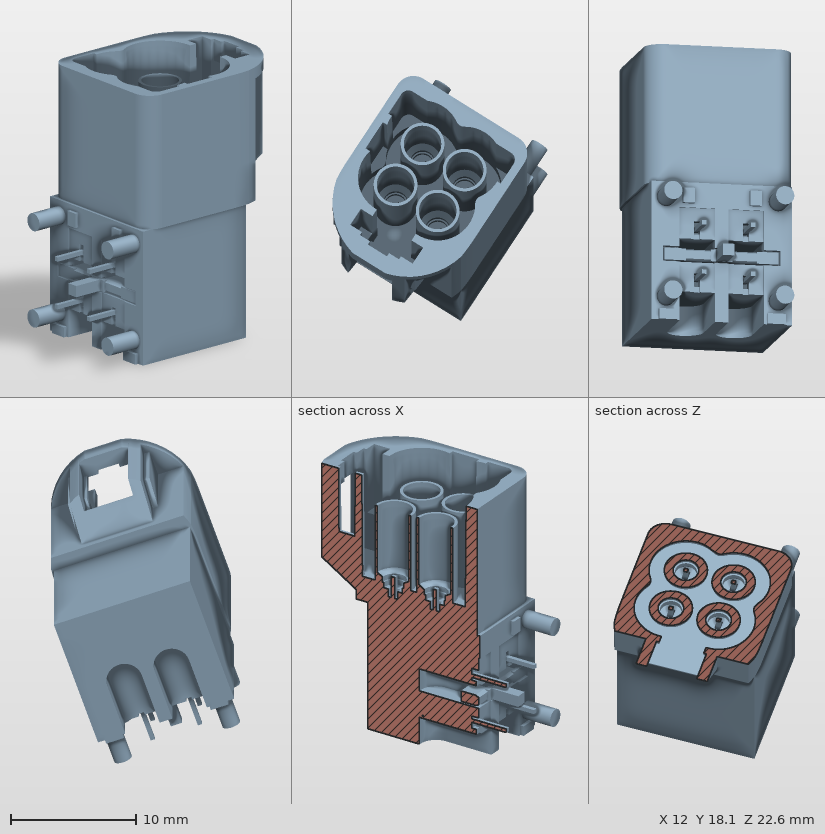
import cadquery as cq
import math

total_height = 22.55
body_width = 11.5
body_back = 4.42
body_front = -6.34
body_top = 11.3

shell_width = 12.0
shell_front = -6.07
shell_back = 9.05
shell_corner_radius = 1.49
shell_side_end = 3.02
shell_blend_end = 4.62
rear_arc_radius = 6.09
rear_arc_center = 3.15

collar_height = 0.97
collar_middle_height = 1.83
flat_back = 5.55
latch_gap_half = 2.07
rail_outer = 3.0
rail_back = 8.86
latch_slope = 0.61
rail_bottom = 12.15
window_box_bottom = 14.85
window_box_outer = 3.45
window_box_back = 7.62
latch_overlap = 0.45

pitch = 4.0
row = pitch / 2
draft = 0.5
cavity_radius = 3.0
cavity_cusp_radius = 0.63
cavity_floor = 13.53
keyway_half = 1.85
keyway_back = 7.49
notch_half = 0.9
notch_back = 7.8
window_outer = 2.95
window_front = 5.64
window_back = 7.2
window_floor = 16.91
key_floor = 14.88
corner_key_half = 5.32
corner_key_front = -4.71
corner_key_back = -2.15
corner_key_radius = 0.68
side_key_front = -1.3
side_key_back = 1.25

socket_diameter = 3.5
socket_bore = 3.0
socket_seat = 2.0
socket_inner_seat = 1.75
socket_top = 20.23
funnel_top = 14.27
funnel_bottom = 13.98
inner_seat_top = 13.53
socket_floor = 13.08
contact_slot_width = 0.5
contact_slot_length = 0.85
contact_slot_depth = 0.68
socket_base = 12.18
contact_width = 0.35

peg_diameter = 1.49
peg_x = 4.58
peg_heights = (1.9, 10.01)
peg_end = -9.07
pin_end = -8.86
pin_embed = 0.23
standoff_front = -6.65
upper_pad_x = (2.25, 3.22)
upper_pad_z = (9.58, 10.8)
lower_pad_x = (3.68, 5.16)
lower_pad_z = (0, 0.85)

bar_slot_bottom = 4.8
recess_width = 2.9
recess_depth = 0.11
recess_tops = (bar_slot_bottom, 9.25)
channel_bottoms = (0, bar_slot_bottom)
channel_tops = (2.4, 6.72)
pin_heights = (3.52, 7.53)
slot_below_pin = (0.65, 0.38)
slot_above_pin = (0.38, 0.63)
blade_slot_depth = 0.23

bar_slot_half = 4.8
bar_slot_top = 6.05
bar_slot_depth = 0.45
bar_clearance = 0.14
bar_front = -6.22
bar_back = -4.5
ground_pin_width = 0.95
hub_width = 1.75
bevel_end = 2.89
bevel_height = 0.15
bevel_length = 0.34

sides = (-1, 1)


def block(x0, x1, y0, y1, z0, z1):
    """Box between pairs of opposite faces, given in any order along X."""
    return cq.Workplane("XY").box(abs(x1 - x0), y1 - y0, z1 - z0, centered=False).translate(
        (min(x0, x1), y0, z0)
    )


def shell_outline(bottom, top):
    """Prism of the rounded shell outline."""
    half = shell_width / 2
    corner = shell_corner_radius
    blend_x = math.sqrt(rear_arc_radius**2 - (shell_blend_end - rear_arc_center) ** 2)
    flat_x = math.sqrt(rear_arc_radius**2 - (shell_back - rear_arc_center) ** 2)
    mid_x = rear_arc_radius * math.sin(math.pi / 4)
    mid_y = rear_arc_center + mid_x
    outline = (
        cq.Workplane("XY")
        .workplane(offset=bottom)
        .moveTo(0, shell_front)
        .lineTo(half - corner, shell_front)
        .radiusArc((half, shell_front + corner), -corner)
        .lineTo(half, shell_side_end)
        .tangentArcPoint((blend_x, shell_blend_end), relative=False)
        .threePointArc((mid_x, mid_y), (flat_x, shell_back))
        .lineTo(0, shell_back)
        .mirrorY()
    )
    return outline.extrude(top - bottom)


def slanted_prism(x0, x1, back, bottom):
    """Prism behind the flat back of the shell with an underside rising to the rear."""
    start = flat_back - latch_overlap
    profile = [
        (start, bottom - latch_overlap * latch_slope),
        (back, bottom + (back - flat_back) * latch_slope),
        (back, total_height),
        (start, total_height),
    ]
    prism = cq.Workplane("YZ").polyline(profile).close().extrude(abs(x1 - x0))
    return prism.translate((min(x0, x1), 0, 0))


def make_shell():
    """Shell with a flat back, an overhanging collar and the latch housing."""
    full = shell_outline(body_top, total_height)
    shell = full.intersect(
        block(-shell_width, shell_width, 2 * shell_front, flat_back, body_top, total_height)
    )
    shell = shell.union(shell_outline(total_height - collar_height, total_height))
    latch = block(
        -latch_gap_half, latch_gap_half, flat_back, shell_back,
        total_height - collar_middle_height, total_height,
    )
    for side in sides:
        latch = latch.union(slanted_prism(side * latch_gap_half, side * rail_outer, rail_back, rail_bottom))
        latch = latch.union(
            slanted_prism(side * keyway_half, side * window_box_outer, window_box_back, window_box_bottom)
        )
    keyway_base = slanted_prism(-latch_gap_half, latch_gap_half, window_box_back, rail_bottom)
    latch = latch.union(
        keyway_base.intersect(
            block(-latch_gap_half, latch_gap_half, 0, shell_back, 0, cavity_floor)
        )
    )
    return shell.union(latch.intersect(full))


def drafted_pocket(x0, x1, y0, y1, floor):
    """Rectangular pocket narrowing slightly from the mouth down to its floor."""
    return (
        cq.Workplane("XY", origin=((x0 + x1) / 2, (y0 + y1) / 2, total_height))
        .rect(abs(x1 - x0), y1 - y0)
        .extrude(floor - total_height, taper=draft)
    )


def quarter_turned(x, y, turns):
    """Point turned about the origin by a number of quarter turns."""
    for _ in range(turns):
        x, y = -y, x
    return (x, y)


def four_lobe_cavity():
    """Mating cavity: one lobe around each socket, the cusps between lobes rounded."""
    reach = cavity_radius + cavity_cusp_radius
    cusp_center = row + math.sqrt(reach**2 - row**2)
    share = cavity_radius / reach
    near = row - row * share
    far = row + (cusp_center - row) * share
    tip = cusp_center - cavity_cusp_radius
    lobe_mid = row + cavity_radius * math.sin(math.pi / 4)
    outline = cq.Workplane("XY").workplane(offset=total_height).moveTo(far, near)
    for turns in range(4):
        outline = outline.threePointArc(
            quarter_turned(lobe_mid, lobe_mid, turns), quarter_turned(near, far, turns)
        )
        outline = outline.threePointArc(quarter_turned(0, tip, turns), quarter_turned(-near, far, turns))
    return outline.close().extrude(cavity_floor - total_height, taper=draft)


def corner_pocket(side):
    """Key pocket in a front corner of the cavity, its outer corner rounded."""
    pocket = drafted_pocket(
        side * row, side * corner_key_half, corner_key_front, corner_key_back, key_floor
    )
    outer_edge = ">X" if side > 0 else "<X"
    return pocket.faces("<Y").edges(outer_edge).fillet(corner_key_radius)


def cut_cavity(shell):
    """Mating cavity with its keyway, latch windows and key pockets."""
    shell = shell.cut(four_lobe_cavity())
    shell = shell.cut(
        block(-keyway_half, keyway_half, row, keyway_back, cavity_floor, total_height)
    )
    shell = shell.cut(
        block(-notch_half, notch_half, row, notch_back, cavity_floor, total_height)
    )
    for side in sides:
        shell = shell.cut(
            drafted_pocket(0, side * window_outer, window_front, window_back, window_floor)
        )
        shell = shell.cut(corner_pocket(side))
    return shell.cut(
        drafted_pocket(row, corner_key_half, side_key_front, side_key_back, key_floor)
    )


def make_socket():
    """Shielding sleeve with a funnel bore, a stepped seat and a square contact."""
    def ring_disc(diameter, bottom, top):
        return cq.Workplane("XY").workplane(offset=bottom).circle(diameter / 2).extrude(top - bottom)

    funnel = (
        cq.Workplane("XY")
        .workplane(offset=funnel_bottom)
        .circle(socket_seat / 2)
        .workplane(offset=funnel_top - funnel_bottom)
        .circle(socket_bore / 2)
        .loft()
    )
    half_slot = contact_slot_width / 2
    half_length = contact_slot_length / 2
    half_contact = contact_width / 2
    slot_floor = socket_floor - contact_slot_depth
    return (
        ring_disc(socket_diameter, socket_base, socket_top)
        .cut(ring_disc(socket_bore, funnel_top, socket_top))
        .cut(funnel)
        .cut(ring_disc(socket_seat, inner_seat_top, funnel_bottom))
        .cut(ring_disc(socket_inner_seat, socket_floor, inner_seat_top))
        .cut(block(-half_slot, half_slot, -half_length, half_length, slot_floor, socket_floor))
        .union(block(-half_contact, half_contact, -half_contact, half_contact, slot_floor, funnel_top))
    )


def add_sockets(part):
    """Four sockets on a square pitch, rooted below the cavity floor."""
    socket = make_socket()
    room = cq.Workplane("XY").circle(socket_diameter / 2).extrude(total_height - socket_base)
    for x in (-row, row):
        for y in (-row, row):
            part = part.cut(room.translate((x, y, socket_base)))
            part = part.union(socket.translate((x, y, 0)))
    return part


def cut_contact_recesses(body):
    """Shallow front recesses, each opening below into a deep round-backed channel."""
    half = recess_width / 2
    half_slot = contact_slot_width / 2
    recess_back = body_front + recess_depth
    for x in (-row, row):
        for recess_top, bottom, top, pin_z, below, above in zip(
            recess_tops, channel_bottoms, channel_tops, pin_heights, slot_below_pin, slot_above_pin
        ):
            body = body.cut(block(x - half, x + half, body_front, recess_back, bottom, recess_top))
            body = body.cut(block(x - half, x + half, body_front, -row, bottom, top))
            round_back = cq.Workplane("XY", origin=(x, -row, bottom)).circle(half).extrude(top - bottom)
            body = body.cut(round_back)
            body = body.cut(
                block(
                    x - half_slot, x + half_slot, body_front, recess_back + contact_slot_depth,
                    pin_z - below, pin_z + above,
                )
            )
            body = body.cut(
                block(
                    x - half_slot, x + half_slot, body_front, recess_back + blade_slot_depth,
                    top, pin_z - below,
                )
            )
    return body


def add_ground_bar(body):
    """Cross slot holding the ground bar with its square pin."""
    body = body.cut(
        block(
            -bar_slot_half, bar_slot_half, body_front, body_front + bar_slot_depth,
            bar_slot_bottom, bar_slot_top,
        )
    )
    half_bar = bar_slot_half - bar_clearance
    bottom = bar_slot_bottom + bar_clearance
    top = bar_slot_top - bar_clearance
    half_hub = hub_width / 2
    bar = block(-half_bar, half_bar, bar_front, bar_back, bottom, top)
    for edge, inward in ((bottom, 1), (top, -1)):
        bevel = (
            cq.Workplane("YZ")
            .moveTo(bar_front, edge)
            .lineTo(bar_front + bevel_length, edge)
            .lineTo(bar_front, edge + inward * bevel_height)
            .close()
            .extrude(bevel_end - half_hub)
        )
        bar = bar.cut(bevel.translate((half_hub, 0, 0)))
        bar = bar.cut(bevel.translate((-bevel_end, 0, 0)))
    body = body.union(bar)
    body = body.union(block(-half_hub, half_hub, body_front, bar_back, bottom, top))
    middle = (bar_slot_bottom + bar_slot_top) / 2
    half_pin = ground_pin_width / 2
    return body.union(
        block(-half_pin, half_pin, pin_end, bar_back, middle - half_pin, middle + half_pin)
    )


def add_front_details(body):
    """Signal pins, mounting pegs and standoff pads on the board side."""
    half_contact = contact_width / 2
    pin_root = body_front + recess_depth + contact_slot_depth + pin_embed
    for x in (-row, row):
        for z in pin_heights:
            body = body.union(
                block(
                    x - half_contact, x + half_contact, pin_end, pin_root,
                    z - half_contact, z + half_contact,
                )
            )
    for side in sides:
        for z in peg_heights:
            peg = cq.Workplane("XZ", origin=(side * peg_x, body_front, z)).circle(peg_diameter / 2)
            body = body.union(peg.extrude(body_front - peg_end))
        for (inner, outer), (low, high) in ((upper_pad_x, upper_pad_z), (lower_pad_x, lower_pad_z)):
            body = body.union(
                block(side * inner, side * outer, standoff_front, body_front, low, high)
            )
    return body


body = block(-body_width / 2, body_width / 2, body_front, body_back, 0, body_top)
body = cut_contact_recesses(body)
body = add_ground_bar(body)
body = add_front_details(body)
result = add_sockets(cut_cavity(make_shell()).union(body))